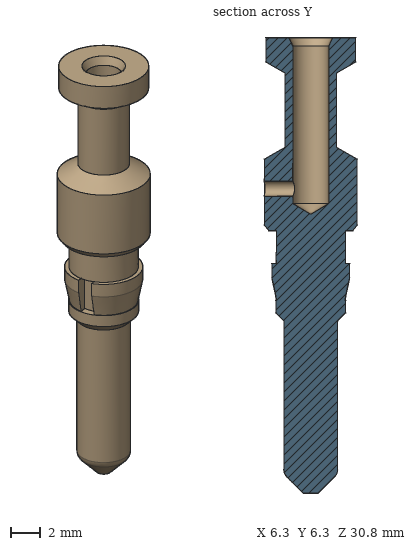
import cadquery as cq
import math

LENGTH = 30.8

HEAD_RADIUS = 3.05
BARREL_NECK_RADIUS = 1.75
COLLAR_RADIUS = 3.15
COLLAR_CHAMFER_WIDTH = 0.3
LOWER_NECK_RADIUS = 2.35
GROOVE_RADIUS = 1.83
FLANGE_RADIUS = 2.375
PIN_RADIUS = 1.825
TIP_RADIUS = 0.5
TIP_BLEND_RADIUS = 0.6

HEAD_BOTTOM_Z = LENGTH - 1.65
BARREL_TOP_Z = LENGTH - 2.4
BARREL_BOTTOM_Z = LENGTH - 7.4
COLLAR_TOP_Z = LENGTH - 8.2
COLLAR_CHAMFER_Z = LENGTH - 12.67
COLLAR_BOTTOM_Z = LENGTH - 13.05
GROOVE_TOP_Z = LENGTH - 15.25
FLANGE_TOP_Z = LENGTH - 17.77
FLANGE_CHAMFER_Z = LENGTH - 18.6
FLANGE_BOTTOM_Z = LENGTH - 19.15

TIP_HEIGHT = PIN_RADIUS - TIP_RADIUS

RING_RADIUS = 2.65
RING_BOTTOM_RADIUS = 2.32
RING_TAPER_TOP_Z = LENGTH - 16.2
RING_SLOT_WIDTH = 1.0

BORE_RADIUS = 1.2
BORE_MOUTH_RADIUS = 1.47
COUNTERSINK_DEPTH = 0.57
BORE_BOTTOM_Z = 19.6
DRILL_POINT_ANGLE = 118.0
DRILL_POINT_DEPTH = BORE_RADIUS / math.tan(math.radians(DRILL_POINT_ANGLE / 2))
INSPECTION_HOLE_RADIUS = 0.5
INSPECTION_HOLE_Z = 20.6


def revolve_profile(points):
    """Revolve a closed outline of (radius, height) points about the Z axis."""
    return cq.Workplane("XZ").polyline(points).close().revolve(360, (0, 0, 0), (0, 1, 0))


def make_body():
    """Stepped body from tip to head, with the tip cone blended into the pin."""
    body = revolve_profile([
        (0, 0),
        (TIP_RADIUS, 0),
        (PIN_RADIUS, TIP_HEIGHT),
        (PIN_RADIUS, FLANGE_BOTTOM_Z),
        (FLANGE_RADIUS, FLANGE_CHAMFER_Z),
        (FLANGE_RADIUS, FLANGE_TOP_Z),
        (GROOVE_RADIUS, FLANGE_TOP_Z),
        (GROOVE_RADIUS, GROOVE_TOP_Z),
        (LOWER_NECK_RADIUS, GROOVE_TOP_Z),
        (LOWER_NECK_RADIUS, COLLAR_BOTTOM_Z),
        (COLLAR_RADIUS - COLLAR_CHAMFER_WIDTH, COLLAR_BOTTOM_Z),
        (COLLAR_RADIUS, COLLAR_CHAMFER_Z),
        (COLLAR_RADIUS, COLLAR_TOP_Z),
        (BARREL_NECK_RADIUS, BARREL_BOTTOM_Z),
        (BARREL_NECK_RADIUS, BARREL_TOP_Z),
        (HEAD_RADIUS, HEAD_BOTTOM_Z),
        (HEAD_RADIUS, LENGTH),
        (0, LENGTH),
    ])
    tip_corner = cq.selectors.BoxSelector(
        (-LENGTH, -LENGTH, TIP_HEIGHT / 2),
        (LENGTH, LENGTH, 3 * TIP_HEIGHT / 2),
    )
    return body.edges("%CIRCLE").edges(tip_corner).fillet(TIP_BLEND_RADIUS)


def make_ring():
    """Tapered snap ring, split by a full-height slot on the -Y side."""
    ring = revolve_profile([
        (GROOVE_RADIUS, FLANGE_TOP_Z),
        (RING_BOTTOM_RADIUS, FLANGE_TOP_Z),
        (RING_RADIUS, RING_TAPER_TOP_Z),
        (RING_RADIUS, GROOVE_TOP_Z),
        (GROOVE_RADIUS, GROOVE_TOP_Z),
    ])
    slot = cq.Workplane("XY", origin=(0, 0, FLANGE_TOP_Z)).box(
        RING_SLOT_WIDTH,
        2 * RING_RADIUS,
        GROOVE_TOP_Z - FLANGE_TOP_Z,
        centered=(True, False, False),
    ).translate((0, -2 * RING_RADIUS, 0))
    return ring.cut(slot)


def make_bore():
    """Blind wire bore with a countersunk mouth and a conical drill point."""
    return revolve_profile([
        (0, BORE_BOTTOM_Z - DRILL_POINT_DEPTH),
        (BORE_RADIUS, BORE_BOTTOM_Z),
        (BORE_RADIUS, LENGTH - COUNTERSINK_DEPTH),
        (BORE_MOUTH_RADIUS, LENGTH),
        (0, LENGTH),
    ])


def make_inspection_hole():
    """Radial hole from the -X side of the collar into the bore."""
    return (
        cq.Workplane("YZ")
        .center(0, INSPECTION_HOLE_Z)
        .circle(INSPECTION_HOLE_RADIUS)
        .extrude(-(COLLAR_RADIUS + INSPECTION_HOLE_RADIUS))
    )


result = make_body().union(make_ring()).cut(make_bore()).cut(make_inspection_hole())